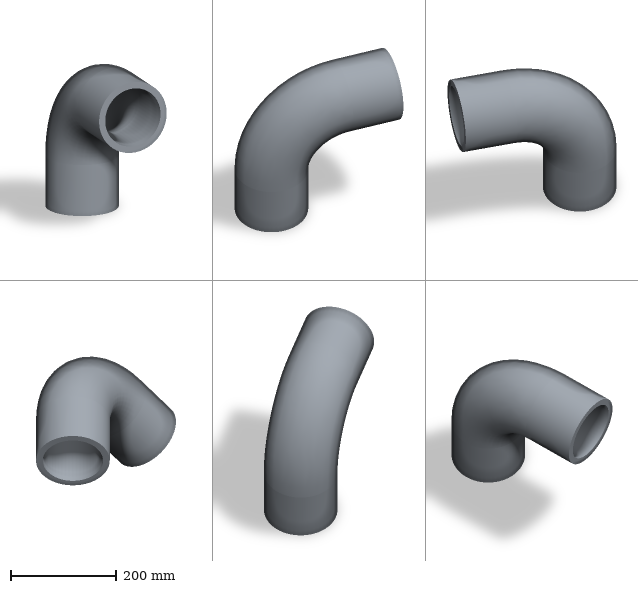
import cadquery as cq

overall_length = 311.0
outer_diameter = 140.0
bore_diameter = 114.5

bend_radius = outer_diameter
leg_length = overall_length - bend_radius - outer_diameter / 2


def pipe_leg(plane):
    """Straight tube along the plane's normal, starting at its origin."""
    return (
        cq.Workplane(plane)
        .circle(outer_diameter / 2)
        .circle(bore_diameter / 2)
        .extrude(leg_length)
    )


lower_leg = pipe_leg(cq.Plane.XY())

bend = (
    cq.Workplane("XY", origin=(0, 0, leg_length))
    .circle(outer_diameter / 2)
    .circle(bore_diameter / 2)
    .revolve(90, (bend_radius, 0), (bend_radius, 1))
)

upper_leg_start = (bend_radius, 0, leg_length + bend_radius)
upper_leg = pipe_leg(cq.Plane.YZ(origin=upper_leg_start))

result = lower_leg.union(bend).union(upper_leg)